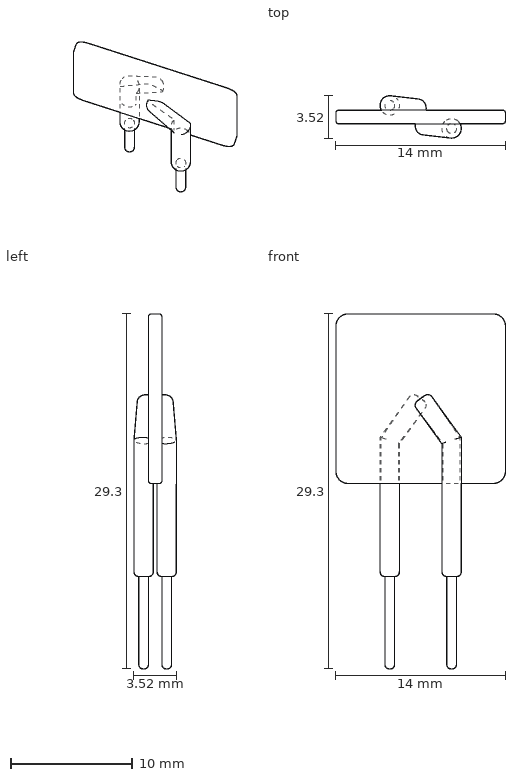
import cadquery as cq

total_height = 29.3
plate_side = 14.0
plate_thickness = 1.15
plate_corner_radius = 1.03
plate_edge_radius = 0.25

lead_pitch = 5.1
sleeve_diameter = 1.6
sleeve_end_radius = 0.4
total_depth = 3.52
sleeve_bottom = 7.62
bend_height = 18.85
tip_shift_x = 2.52
tip_shift_y = 0.3
tip_rise = 3.5

pin_diameter = 0.82
pin_tip_radius = 0.38
pin_overlap = 0.88

lead_x = lead_pitch / 2
lead_y = -(total_depth - sleeve_diameter) / 2


def make_plate():
    plate = (
        cq.Workplane("XY")
        .box(plate_side, plate_thickness, plate_side)
        .edges("|Y")
        .fillet(plate_corner_radius)
        .faces("<Y or >Y")
        .edges()
        .fillet(plate_edge_radius)
    )
    return plate.translate((0, 0, total_height - plate_side / 2))


def make_sleeve():
    """Round sleeve with a mitred bend and rounded ends."""
    bottom = (lead_x, lead_y, sleeve_bottom)
    bend = (lead_x, lead_y, bend_height)
    tip = (lead_x - tip_shift_x, lead_y + tip_shift_y, bend_height + tip_rise)
    path = cq.Workplane("XY").polyline([bottom, bend, tip])
    sleeve = (
        cq.Workplane("XY", origin=bottom)
        .circle(sleeve_diameter / 2)
        .sweep(path, transition="right")
    )
    return sleeve.faces("%PLANE").edges("%CIRCLE").fillet(sleeve_end_radius)


def make_pin():
    return (
        cq.Workplane("XY", origin=(lead_x, lead_y, 0))
        .circle(pin_diameter / 2)
        .extrude(sleeve_bottom + pin_overlap)
        .faces("<Z")
        .edges()
        .fillet(pin_tip_radius)
    )


front_lead = make_sleeve().union(make_pin())
back_lead = front_lead.rotate((0, 0, 0), (0, 0, 1), 180)

result = make_plate().union(front_lead).union(back_lead)